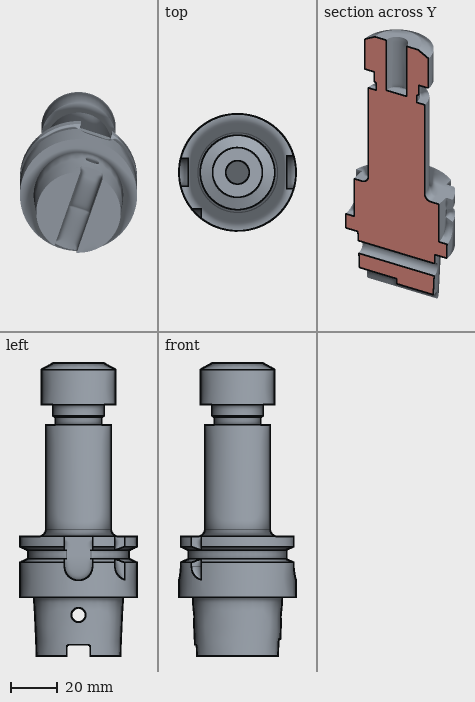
import cadquery as cq
import math

TOTAL_HEIGHT = 125.0

SHANK_HEIGHT = 25.0
SHANK_BOTTOM_RADIUS = 18.0
SHANK_TOP_RADIUS = 19.1
CROSS_HOLE_DIAMETER = 6.0
CROSS_HOLE_Z = 17.5
END_SLOT_WIDTH = 10.0
END_SLOT_CORNER_RADIUS = 1.0
LEFT_END_SLOT_HEIGHT = 4.8
RIGHT_END_SLOT_HEIGHT = 7.2

FLANGE_RADIUS = 25.0
FLANGE_TOP_Z = SHANK_HEIGHT + 26.0
GROOVE_RADIUS = 21.6
GROOVE_MIDDLE_Z = 43.2
GROOVE_FLOOR_HEIGHT = 3.5
GROOVE_MOUTH_HEIGHT = 6.8

KEY_SLOT_BOTTOM_Z = 32.2
KEY_SLOT_FLOOR_X = 21.0
LEFT_KEY_SLOT_WIDTH = 12.0
RIGHT_KEY_SLOT_WIDTH = 14.0
NOTCH_WALL_OFFSET = 15.5

BODY_RADIUS = 14.0
BODY_TOP_Z = 98.5
BODY_FILLET_RADIUS = 3.0
NECK_RELIEF_RADIUS = 10.0
NECK_RELIEF_TOP_Z = 101.8
NECK_RADIUS = 11.0
NECK_CHAMFER = 0.8

NUT_RADIUS = 15.9
NUT_BOTTOM_Z = 107.1
NUT_TOP_RADIUS = 10.6
NUT_CONE_HEIGHT = 2.9
BORE_DIAMETER = 10.0
BORE_DEPTH = 25.0


def turned_body():
    """Shank, flange, body, neck and nut as one revolved profile (radius, Z)."""
    groove_floor_bottom = GROOVE_MIDDLE_Z - GROOVE_FLOOR_HEIGHT / 2
    groove_floor_top = GROOVE_MIDDLE_Z + GROOVE_FLOOR_HEIGHT / 2
    groove_mouth_bottom = GROOVE_MIDDLE_Z - GROOVE_MOUTH_HEIGHT / 2
    groove_mouth_top = GROOVE_MIDDLE_Z + GROOVE_MOUTH_HEIGHT / 2
    fillet_outer_radius = BODY_RADIUS + BODY_FILLET_RADIUS
    fillet_top_z = FLANGE_TOP_Z + BODY_FILLET_RADIUS
    fillet_mid_offset = BODY_FILLET_RADIUS * (1 - math.sqrt(0.5))
    profile = (
        cq.Workplane("XZ")
        .lineTo(SHANK_BOTTOM_RADIUS, 0)
        .lineTo(SHANK_TOP_RADIUS, SHANK_HEIGHT)
        .lineTo(FLANGE_RADIUS, SHANK_HEIGHT)
        .lineTo(FLANGE_RADIUS, groove_mouth_bottom)
        .lineTo(GROOVE_RADIUS, groove_floor_bottom)
        .lineTo(GROOVE_RADIUS, groove_floor_top)
        .lineTo(FLANGE_RADIUS, groove_mouth_top)
        .lineTo(FLANGE_RADIUS, FLANGE_TOP_Z)
        .lineTo(fillet_outer_radius, FLANGE_TOP_Z)
        .threePointArc(
            (BODY_RADIUS + fillet_mid_offset, FLANGE_TOP_Z + fillet_mid_offset),
            (BODY_RADIUS, fillet_top_z),
        )
        .lineTo(BODY_RADIUS, BODY_TOP_Z)
        .lineTo(NECK_RELIEF_RADIUS, BODY_TOP_Z)
        .lineTo(NECK_RELIEF_RADIUS, NECK_RELIEF_TOP_Z)
        .lineTo(NECK_RADIUS, NECK_RELIEF_TOP_Z + NECK_CHAMFER)
        .lineTo(NECK_RADIUS, NUT_BOTTOM_Z)
        .lineTo(NUT_RADIUS, NUT_BOTTOM_Z)
        .lineTo(NUT_RADIUS, TOTAL_HEIGHT - NUT_CONE_HEIGHT)
        .lineTo(NUT_TOP_RADIUS, TOTAL_HEIGHT)
        .lineTo(0, TOTAL_HEIGHT)
        .close()
    )
    return profile.revolve(360, (0, 0, 0), (0, 1, 0))


def key_slot(side, floor_distance, center_y, width):
    """Cutter for a slot open at the flange top and rim; side is -1 for -X and +1 for +X."""
    radius = width / 2
    arc_center_z = KEY_SLOT_BOTTOM_Z + radius
    return (
        cq.Workplane("YZ", origin=(side * floor_distance, center_y, 0))
        .moveTo(-radius, FLANGE_TOP_Z)
        .lineTo(-radius, arc_center_z)
        .threePointArc((0, KEY_SLOT_BOTTOM_Z), (radius, arc_center_z))
        .lineTo(radius, FLANGE_TOP_Z)
        .close()
        .extrude(side * FLANGE_RADIUS)
    )


def end_slot(side, height):
    """Cutter from the axis outwards across the shank's bottom end, with rounded top corners."""
    return (
        cq.Workplane("XY")
        .box(FLANGE_RADIUS, END_SLOT_WIDTH, height, centered=(False, True, False))
        .edges("|X and >Z")
        .fillet(END_SLOT_CORNER_RADIUS)
        .translate((min(side, 0) * FLANGE_RADIUS, 0, 0))
    )


def cross_hole():
    """Round hole through the shank along X."""
    return (
        cq.Workplane("YZ", origin=(0, 0, CROSS_HOLE_Z))
        .circle(CROSS_HOLE_DIAMETER / 2)
        .extrude(FLANGE_RADIUS, both=True)
    )


def bore():
    """Blind tool bore in the nut's top face."""
    return (
        cq.Workplane("XY", origin=(0, 0, TOTAL_HEIGHT))
        .circle(BORE_DIAMETER / 2)
        .extrude(-BORE_DEPTH)
    )


notch_center_y = -(NOTCH_WALL_OFFSET + LEFT_KEY_SLOT_WIDTH / 2)

result = (
    turned_body()
    .cut(key_slot(-1, KEY_SLOT_FLOOR_X, 0, LEFT_KEY_SLOT_WIDTH))
    .cut(key_slot(1, KEY_SLOT_FLOOR_X, 0, RIGHT_KEY_SLOT_WIDTH))
    .cut(key_slot(-1, NOTCH_WALL_OFFSET, notch_center_y, LEFT_KEY_SLOT_WIDTH))
    .cut(end_slot(-1, LEFT_END_SLOT_HEIGHT))
    .cut(end_slot(1, RIGHT_END_SLOT_HEIGHT))
    .cut(cross_hole())
    .cut(bore())
)